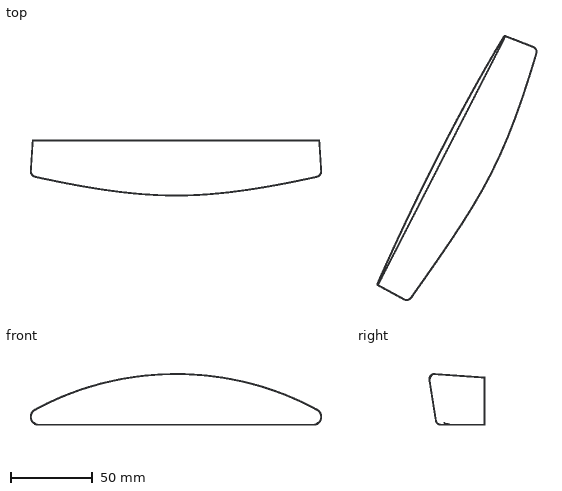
import cadquery as cq
import math

BACK_HALF_WIDTH = 87.6
BACK_CREST = 29.1
BACK_END_RADIUS = 3.7

FRONT_DEPTH = 39.1
FRONT_HALF_WIDTH = 90.1
FRONT_CREST = 31.8
FRONT_END_RADIUS = 6.2

FACE_DEPTH = 29.5
FACE_HALF_SPAN = 106.6
FACE_BOW_DROP = 10.5
FACE_END_SLOPE = 0.12
FACE_LEAN = 9.0
FACE_FILLET = 3.2

CUT_MARGIN = 17.8


def add_profile(work, half_width, crest, end_radius):
    """Flat base and shallow crown, joined by tangent arcs at both ends."""
    end_x = half_width - end_radius
    crown_radius = (end_x**2 + (crest - end_radius) ** 2 - end_radius**2) / (2 * (crest - 2 * end_radius))
    crown_angle = math.asin(end_x / (crown_radius - end_radius))
    tangent_x = crown_radius * math.sin(crown_angle)
    tangent_z = crest - crown_radius * (1 - math.cos(crown_angle))
    return (
        work.moveTo(-end_x, 0)
        .lineTo(end_x, 0)
        .threePointArc((half_width, end_radius), (tangent_x, tangent_z))
        .threePointArc((0, crest), (-tangent_x, tangent_z))
        .threePointArc((-half_width, end_radius), (-end_x, 0))
        .close()
    )


def make_body():
    """Drafted bar that widens and rises from back to front."""
    back = add_profile(cq.Workplane("XZ"), BACK_HALF_WIDTH, BACK_CREST, BACK_END_RADIUS)
    both = add_profile(
        back.workplane(offset=FRONT_DEPTH), FRONT_HALF_WIDTH, FRONT_CREST, FRONT_END_RADIUS
    )
    return both.loft(ruled=True, combine=True)


def make_front_limit():
    """Leaning bowed solid whose front surface trims the bar."""
    end_y = FACE_BOW_DROP - FACE_DEPTH
    height = FRONT_CREST + 2 * CUT_MARGIN
    return (
        cq.Workplane("XY")
        .moveTo(-FACE_HALF_SPAN, CUT_MARGIN)
        .lineTo(-FACE_HALF_SPAN, end_y)
        .spline(
            [(0, -FACE_DEPTH), (FACE_HALF_SPAN, end_y)],
            tangents=[(1, -FACE_END_SLOPE), (1, FACE_END_SLOPE)],
            includeCurrent=True,
        )
        .lineTo(FACE_HALF_SPAN, CUT_MARGIN)
        .close()
        .extrude(height)
        .translate((0, 0, -CUT_MARGIN))
        .rotate((0, -FACE_DEPTH, 0), (1, -FACE_DEPTH, 0), FACE_LEAN)
    )


body = make_body().intersect(make_front_limit())
result = body.faces("<Y").edges().fillet(FACE_FILLET)